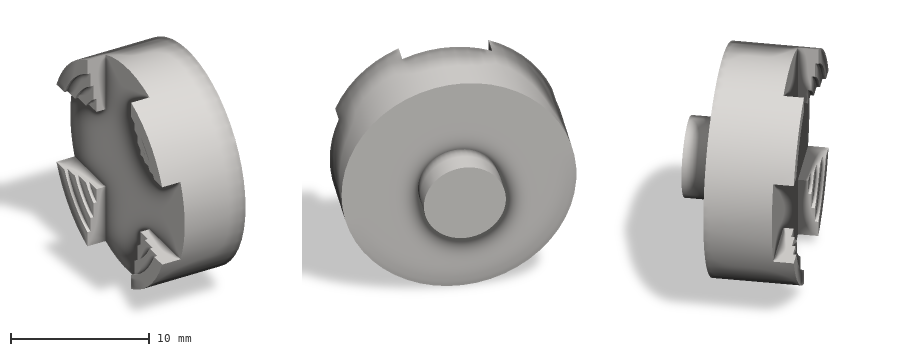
import cadquery as cq

overall_length = 9.0
disc_diameter = 17.2
disc_thickness = 5.0
tooth_height = 1.5
slot_width = 6.59

boss_diameter = 6.0
boss_length = overall_length - disc_thickness - tooth_height

terrace_count = 3
largest_terrace_diameter = 15.0
terrace_diameter_step = 2.0
terrace_drop = tooth_height / 2 / terrace_count

tooth_face_y = -tooth_height


def cylinder_along_y(diameter, y_start, length):
    """Solid cylinder centred on the Y axis, from y_start towards +Y."""
    plane = cq.Workplane("XZ", origin=(0, y_start, 0))
    return plane.circle(diameter / 2).extrude(-length)


def cross_slots():
    """Two perpendicular slots, as deep as the teeth, open across the whole face."""
    slot_along_x = cq.Workplane("XY").box(disc_diameter, tooth_height, slot_width)
    slot_along_z = cq.Workplane("XY").box(slot_width, tooth_height, disc_diameter)
    return slot_along_x.union(slot_along_z).translate((0, -tooth_height / 2, 0))


def cut_terraces(body):
    """Sink concentric circles into the tooth faces, each smaller one a step deeper."""
    for index in range(terrace_count):
        diameter = largest_terrace_diameter - index * terrace_diameter_step
        depth = (index + 1) * terrace_drop
        body = body.cut(cylinder_along_y(diameter, tooth_face_y, depth))
    return body


disc = cylinder_along_y(disc_diameter, tooth_face_y, tooth_height + disc_thickness)
toothed_disc = cut_terraces(disc.cut(cross_slots()))
boss = cylinder_along_y(boss_diameter, disc_thickness, boss_length)

result = toothed_disc.union(boss)